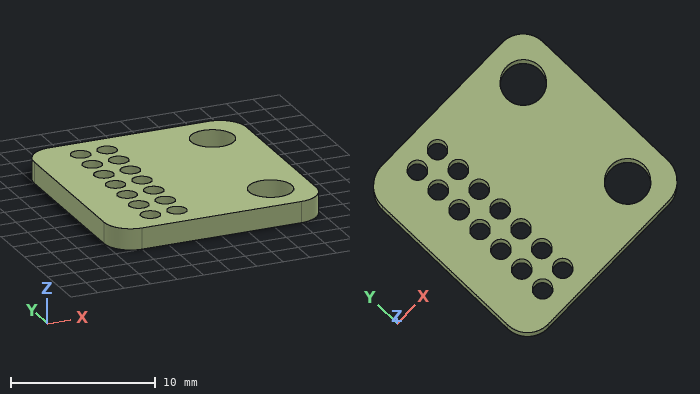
import cadquery as cq

plate_side = 16.0
plate_thickness = 1.6
corner_radius = 2.0

mount_hole_diameter = 3.2
mount_hole_spacing = 10.0
mount_hole_x = mount_hole_spacing / 2

pin_hole_diameter = 1.4
pin_pitch = 2.0
pin_columns = 2
pin_rows = 7
pin_grid_center_x = -3.5


def make_plate():
    plate = cq.Workplane("XY").box(plate_side, plate_side, plate_thickness)
    return plate.edges("|Z").fillet(corner_radius)


def cut_mount_holes(plate):
    centers = [(mount_hole_x, side * mount_hole_spacing / 2) for side in (-1, 1)]
    return plate.faces(">Z").workplane(origin=(0, 0, 0)).pushPoints(centers).hole(mount_hole_diameter)


def cut_pin_holes(plate):
    return (
        plate.faces(">Z")
        .workplane(origin=(pin_grid_center_x, 0, 0))
        .rarray(pin_pitch, pin_pitch, pin_columns, pin_rows)
        .hole(pin_hole_diameter)
    )


result = cut_pin_holes(cut_mount_holes(make_plate()))